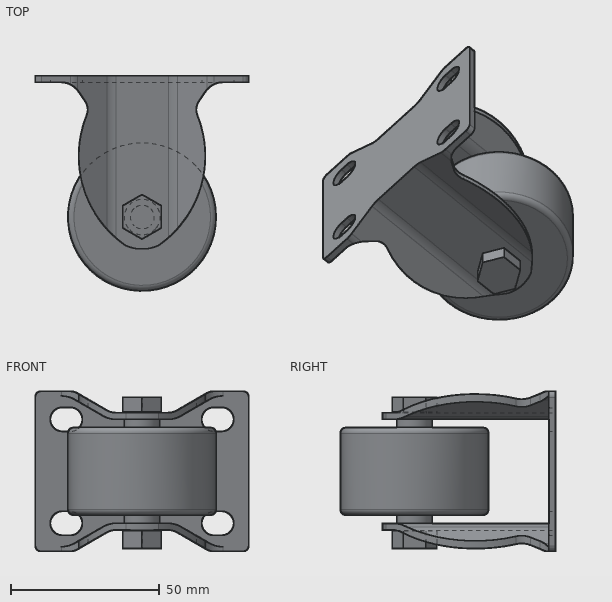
import cadquery as cq
import math


wheel_radius = 25.0
wheel_width = 29.6
wheel_edge_fillet = 2.0
spacer_radius = 6.0
shaft_radius = 4.0
hex_across_flats = 13.0
hex_turn = 30.0
hex_seat_z = 20.0
bolt_head_height = 5.0
nut_height = 6.0

plate_back_y = 47.57
plate_length = 72.0
plate_height = 54.0
plate_corner_radius = 2.0
slot_length = 10.7
slot_width = 8.0
slot_spacing_x = 51.0
slot_spacing_z = 35.0

sheet = 2.3
web_inner_z = 17.5
web_half_width = 8.8
slope = math.radians(30)
web_bend_radius = 6.2
rim_bend_radius = 4.5
rim_inner_z = 25.4
rim_inner_radius = 9.1

tip_y = -10.85
shoulder = (5.45, -9.7)
bulge_half_width = 21.35
bulge_y = 20.5
neck_start_y = 34.15
neck_radius = 5.2
flare_radius = 7.0
flare_end_x = 27.2

plate_front_y = plate_back_y - sheet
plate_half_height = plate_height / 2
web_outer_z = web_inner_z + sheet


def polar(center, radius, angle):
    return (center[0] + radius * math.cos(angle), center[1] + radius * math.sin(angle))


def mirrored(point):
    return (-point[0], point[1])


def draw(plane, start, steps, closing_middle=None):
    """Closed sketch from its right half; the left half is the mirror image, walked backwards.

    Each step is (end,) for a line or (middle, end) for an arc. The sketch closes with a line,
    or with an arc through closing_middle.
    """
    starts = [start] + [step[-1] for step in steps[:-1]]
    right_half = plane.moveTo(*start)
    path = add_steps(right_half, steps).lineTo(*mirrored(steps[-1][-1]))
    left_steps = [step[:-1] + (begin,) for begin, step in zip(starts, steps)]
    left_steps = [tuple(mirrored(point) for point in step) for step in reversed(left_steps)]
    path = add_steps(path, left_steps)
    if closing_middle:
        return path.threePointArc(closing_middle, start).close()
    return path.close()


def add_steps(path, steps):
    for step in steps:
        path = path.lineTo(*step[0]) if len(step) == 1 else path.threePointArc(*step)
    return path


def half_surface(web_z, bend_radius, rim_z, rim_radius):
    """Right half of one face of the sheet: web edge, bend, sloped flank, rim bend and rim."""
    upward = math.pi / 2
    bend_center = (web_half_width, web_z + bend_radius)
    bend_end = polar(bend_center, bend_radius, slope - upward)
    rim_start_z = rim_z - rim_radius * (1 - math.cos(slope))
    rim_start_x = bend_end[0] + (rim_start_z - bend_end[1]) / math.tan(slope)
    rim_center = (rim_start_x + rim_radius * math.sin(slope), rim_z - rim_radius)
    return [
        (polar(bend_center, bend_radius, slope / 2 - upward), bend_end),
        ((rim_start_x, rim_start_z),),
        (polar(rim_center, rim_radius, upward + slope / 2), (rim_center[0], rim_z)),
        ((flare_end_x, rim_z),),
    ]


def below_surface(web_z, surface):
    """Solid under one face of the sheet, from mid-height up and along the whole arm."""
    steps = surface + [((flare_end_x, 0),)]
    plane = cq.Workplane("XZ", origin=(0, plate_back_y, 0))
    return draw(plane, (web_half_width, web_z), steps).extrude(plate_back_y - tip_y)


def arm_outline():
    """Outline of the arms seen along Z, extruded through the whole height."""
    side_width = bulge_half_width - shoulder[0]
    side_rise = bulge_y - shoulder[1]
    side_radius = (side_width**2 + side_rise**2) / (2 * side_width)
    side_center = (bulge_half_width - side_radius, bulge_y)
    neck_angle = math.asin((neck_start_y - bulge_y) / side_radius)
    neck_center = polar(side_center, side_radius + neck_radius, neck_angle)
    flare_center = (flare_end_x, plate_front_y - flare_radius)
    dx = flare_center[0] - neck_center[0]
    dy = flare_center[1] - neck_center[1]
    lean = math.atan2(dy, dx) + math.asin((flare_radius - neck_radius) / math.hypot(dx, dy))
    normal = lean + math.pi / 2
    steps = [
        ((bulge_half_width, bulge_y), polar(side_center, side_radius, neck_angle)),
        (polar(neck_center, neck_radius, (math.pi + neck_angle + normal) / 2),
         polar(neck_center, neck_radius, normal)),
        (polar(flare_center, flare_radius, normal),),
        (polar(flare_center, flare_radius, (normal + math.pi / 2) / 2), (flare_end_x, plate_front_y)),
        ((flare_end_x, plate_back_y),),
    ]
    plane = cq.Workplane("XY").workplane(offset=-plate_half_height)
    return draw(plane, shoulder, steps, (0, tip_y)).extrude(plate_height)


def both_ends(solid):
    return solid.union(solid.mirror("XY"))


def bracket():
    blank = (
        cq.Workplane("XZ", origin=(0, plate_back_y, 0))
        .rect(plate_length, plate_height)
        .extrude(sheet)
        .edges("|Y")
        .fillet(plate_corner_radius)
    )
    slots = (
        cq.Workplane("XZ", origin=(0, plate_back_y, 0))
        .rarray(slot_spacing_x, slot_spacing_z, 2, 2)
        .slot2D(slot_length, slot_width)
        .extrude(sheet)
    )
    outer_face = half_surface(web_outer_z, web_bend_radius, plate_half_height, rim_bend_radius)
    inner_face = half_surface(web_inner_z, web_bend_radius + sheet, rim_inner_z, rim_inner_radius)
    under_outer = below_surface(web_outer_z, outer_face)
    under_inner = below_surface(web_inner_z, inner_face)
    middle = cq.Workplane("XZ", origin=(0, plate_back_y, 0)).rect(2 * flare_end_x, plate_height).extrude(sheet)
    plate = blank.cut(middle.cut(both_ends(under_outer)))
    arms = both_ends(under_outer.cut(under_inner)).intersect(arm_outline())
    return plate.union(arms).cut(slots)


def disc(radius, height):
    return cq.Workplane("XY").circle(radius).extrude(height / 2, both=True)


def hexagon(base_z, height):
    corner_diameter = hex_across_flats / math.cos(math.pi / 6)
    return (
        cq.Workplane("XY")
        .workplane(offset=base_z)
        .polygon(6, corner_diameter)
        .extrude(height)
        .rotate((0, 0, 0), (0, 0, 1), hex_turn)
    )


wheel = disc(wheel_radius, wheel_width).edges().fillet(wheel_edge_fillet)
spacers = disc(spacer_radius, 2 * web_inner_z)
shaft = disc(shaft_radius, 2 * hex_seat_z)
bolt_head = hexagon(hex_seat_z, bolt_head_height)
nut = hexagon(-hex_seat_z - nut_height, nut_height)

result = bracket().union(wheel).union(spacers).union(shaft).union(bolt_head).union(nut)